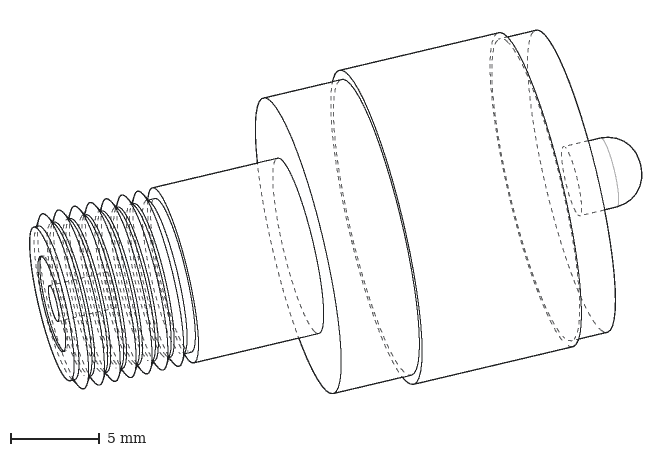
import cadquery as cq

total_length = 34.5
thread_length = 7.1
shank_end = 14.45
collar_end = 19.05
body_end = 28.4
rim_end = 30.5

shank_diameter = 10.15
thread_root_diameter = 8.9
collar_diameter = 17.1
body_diameter = 18.18
rim_diameter = 17.5
pin_diameter = 4.0
pin_round_radius = 1.83

ring_count = 7
ring_pitch = 0.93
first_crest = 0.65
ring_half_width = 0.38

insulator_diameter = 5.52
insulator_recess = 0.1
bore_diameter = 2.07
bore_depth = 3.45


def cylinder(diameter, start, end):
    """Solid cylinder on the Y axis between two stations."""
    plane = cq.Plane(origin=(0, start, 0), xDir=(1, 0, 0), normal=(0, 1, 0))
    return cq.Workplane(plane).circle(diameter / 2).extrude(end - start)


def turned_body():
    """Stepped body with its threaded spigot; each outline point is (radius, Y)."""
    root = thread_root_diameter / 2
    crest = shank_diameter / 2
    outline = cq.Workplane("XY").moveTo(0, 0).lineTo(root, 0)
    for ring in range(ring_count):
        crest_y = first_crest + ring * ring_pitch
        outline = outline.lineTo(root, crest_y - ring_half_width)
        outline = outline.lineTo(crest, crest_y)
        outline = outline.lineTo(root, crest_y + ring_half_width)
    outline = outline.lineTo(root, thread_length)

    start = thread_length
    for diameter, end in (
        (shank_diameter, shank_end),
        (collar_diameter, collar_end),
        (body_diameter, body_end),
        (rim_diameter, rim_end),
    ):
        outline = outline.lineTo(diameter / 2, start).lineTo(diameter / 2, end)
        start = end
    outline = outline.lineTo(0, rim_end).close()
    return outline.revolve(360, (0, 0, 0), (0, 1, 0))


def contact_pin():
    """Pin with a rounded tip, rising from the rim face."""
    return cylinder(pin_diameter, rim_end, total_length).faces(">Y").edges().fillet(pin_round_radius)


result = (
    turned_body()
    .union(contact_pin())
    .cut(cylinder(insulator_diameter, 0, insulator_recess))
    .cut(cylinder(bore_diameter, 0, bore_depth))
)